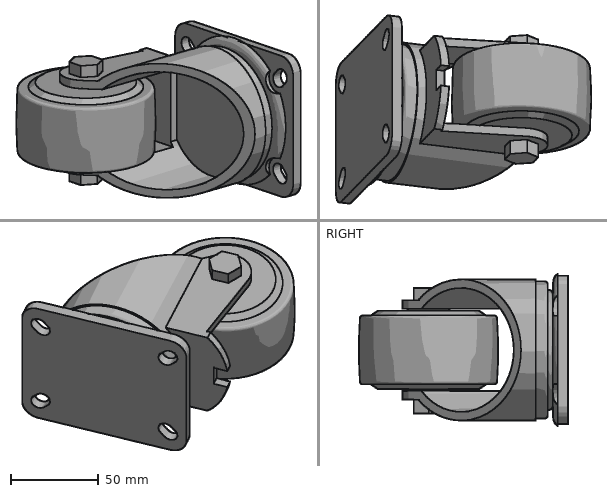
import cadquery as cq
import math


plate_length = 100.0
plate_width = 85.0
plate_thickness = 6.0
plate_corner_radius = 10.0

slot_radius = 4.5
slot_inner_x = 37.5
slot_inner_z = 27.5
slot_reach = 2.5
slot_clearance_radius = 8.0

dome_radius = 43.65
dome_flat_radius = 38.5
dome_bottom = -8.7

neck_top_radius = 32.2
neck_radius = 34.5
neck_bottom = -11.6
collar_radius = 39.4
collar_fillet = 2.0
collar_bottom = -18.7

cup_radius = 40.5
cup_wall = 5.0
rim_high_y = -27.0
leg_inner_z = 23.5
leg_thickness = 5.0
leg_end_radius = 15.0
leg_front_top_x = -52.1
tab_top = -24.0
tab_thickness = 5.0
tab_arc_center_x = -28.0
tab_arc_radius = 38.8
tab_notch_half_width = 6.2
tab_notch_bottom_x = -58.0

axle_x = -45.0
axle_y = -80.0
wheel_radius = 40.0
tread_edge_radius = 39.4
tread_half_width = 19.8
tread_fillet = 1.8
hub_base_radius = 33.0
hub_face_radius = 29.0
hub_half_width = 22.5
spacer_wheel_radius = 11.5
spacer_leg_radius = 12.5

hex_across_flats = 17.0
bolt_head_height = 7.0
bolt_nut_height = 8.0

leg_outer_z = leg_inner_z + leg_thickness
cup_inner_radius = cup_radius - cup_wall
tab_bottom = tab_top - tab_thickness
fork_bottom = axle_y - leg_end_radius
wheel_front_x = axle_x - wheel_radius
wheel_bottom = axle_y - wheel_radius
leg_cup_edge_x = -math.sqrt(cup_radius**2 - leg_outer_z**2)


def tangent_point(x, y, side):
    """Point where a line from (x, y) touches the round leg end; side (+1 or -1) picks which one."""
    dx = x - axle_x
    dy = y - axle_y
    direction = math.atan2(dy, dx) + side * math.acos(leg_end_radius / math.hypot(dx, dy))
    return (
        axle_x + leg_end_radius * math.cos(direction),
        axle_y + leg_end_radius * math.sin(direction),
    )


def bar_along_z(outline, z_low, z_high):
    """Extrude an XY outline between two Z levels."""
    return outline.extrude(z_high - z_low).translate((0, 0, z_low))


def rectangle_block(x_low, x_high, y_low, y_high, half_width):
    """Rectangular block centered on Z = 0."""
    outline = (
        cq.Workplane("XY")
        .center((x_low + x_high) / 2, (y_low + y_high) / 2)
        .rect(x_high - x_low, y_high - y_low)
    )
    return bar_along_z(outline, -half_width, half_width)


def make_disc(radius, y_top, y_bottom):
    """Solid cylinder around the swivel axis."""
    return cq.Workplane("XZ", origin=(0, y_top, 0)).circle(radius).extrude(y_top - y_bottom)


def make_slot(radius, x_sign, z_sign, y_top, y_bottom):
    """Diagonal slot-shaped prism at one corner of the plate."""
    angle = math.degrees(math.atan2(z_sign, x_sign))
    middle_x = x_sign * (slot_inner_x + slot_reach / 2)
    middle_z = z_sign * (slot_inner_z + slot_reach / 2)
    length = slot_reach * math.sqrt(2) + 2 * radius
    return (
        cq.Workplane("XZ", origin=(0, y_top, 0))
        .center(middle_x, middle_z)
        .slot2D(length, 2 * radius, angle)
        .extrude(y_top - y_bottom)
    )


def make_plate():
    """Mounting plate with its dome and the four slots."""
    plate = (
        cq.Workplane("XZ")
        .rect(plate_length, plate_width)
        .extrude(plate_thickness)
        .edges("|Y")
        .fillet(plate_corner_radius)
    )
    dome_height = -plate_thickness - dome_bottom
    dome_overhang = dome_radius - dome_flat_radius
    arc_radius = (dome_height**2 + dome_overhang**2) / (2 * dome_height)
    arc_angle = math.asin(dome_overhang / arc_radius) / 2
    arc_middle = (
        dome_flat_radius + arc_radius * math.sin(arc_angle),
        dome_bottom + arc_radius * (1 - math.cos(arc_angle)),
    )
    dome = (
        cq.Workplane("XY")
        .moveTo(0, -plate_thickness)
        .lineTo(dome_radius, -plate_thickness)
        .threePointArc(arc_middle, (dome_flat_radius, dome_bottom))
        .lineTo(0, dome_bottom)
        .close()
        .revolve(360, (0, 0, 0), (0, 1, 0))
    )
    for x_sign in (1, -1):
        for z_sign in (1, -1):
            dome = dome.cut(make_slot(slot_clearance_radius, x_sign, z_sign, -plate_thickness, dome_bottom))
            plate = plate.cut(make_slot(slot_radius, x_sign, z_sign, 0, -plate_thickness))
    return plate.union(dome)


def make_collar():
    """Rounded neck and collar below the dome."""
    neck_arc_middle = (
        neck_top_radius + (neck_radius - neck_top_radius) * math.sin(math.pi / 4),
        neck_bottom + (dome_bottom - neck_bottom) * math.cos(math.pi / 4),
    )
    fillet_top_radius = collar_radius - collar_fillet
    fillet_bottom = neck_bottom - collar_fillet
    return (
        cq.Workplane("XY")
        .moveTo(0, dome_bottom)
        .lineTo(neck_top_radius, dome_bottom)
        .threePointArc(neck_arc_middle, (neck_radius, neck_bottom))
        .lineTo(fillet_top_radius, neck_bottom)
        .radiusArc((collar_radius, fillet_bottom), collar_fillet)
        .lineTo(collar_radius, collar_bottom)
        .lineTo(0, collar_bottom)
        .close()
        .revolve(360, (0, 0, 0), (0, 1, 0))
    )


def make_tab():
    """Curved, notched lock tab joining the two legs."""
    corner_dx = math.sqrt(tab_arc_radius**2 - leg_outer_z**2)
    corner_x = tab_arc_center_x - corner_dx
    tip_x = tab_arc_center_x - tab_arc_radius
    tab = (
        cq.Workplane("XZ", origin=(0, tab_top, 0))
        .moveTo(leg_cup_edge_x, leg_outer_z)
        .lineTo(corner_x, leg_outer_z)
        .threePointArc((tip_x, 0), (corner_x, -leg_outer_z))
        .lineTo(leg_cup_edge_x, -leg_outer_z)
        .close()
        .extrude(tab_thickness)
    )
    notch = rectangle_block(tip_x, tab_notch_bottom_x, tab_bottom, tab_top, tab_notch_half_width)
    return tab.cut(notch)


def make_cup():
    """Round cup under the collar, cut off along the slanted rim plane."""
    rim_tangent = tangent_point(cup_radius, rim_high_y, -1)
    below_collar = (
        cq.Workplane("XY")
        .moveTo(-cup_radius, collar_bottom)
        .lineTo(cup_radius, collar_bottom)
        .lineTo(cup_radius, rim_high_y)
        .lineTo(*rim_tangent)
        .lineTo(-cup_radius, rim_tangent[1])
        .close()
    )
    side_block = bar_along_z(below_collar, -cup_radius, cup_radius)
    return make_disc(cup_radius, collar_bottom, fork_bottom).intersect(side_block)


def make_leg_block():
    """Block with the side outline of the legs, as wide as the outsides of both legs."""
    front_tangent = tangent_point(leg_front_top_x, tab_bottom, 1)
    rim_tangent = tangent_point(cup_radius, rim_high_y, -1)
    outline = (
        cq.Workplane("XY")
        .moveTo(leg_front_top_x, tab_top)
        .lineTo(leg_front_top_x, tab_bottom)
        .lineTo(*front_tangent)
        .threePointArc((axle_x, fork_bottom), rim_tangent)
        .lineTo(cup_radius, rim_high_y)
        .lineTo(cup_radius, tab_top)
        .close()
    )
    block = bar_along_z(outline, -leg_outer_z, leg_outer_z)
    beside_cup = rectangle_block(wheel_front_x, leg_cup_edge_x, fork_bottom, tab_top, leg_outer_z)
    return block.intersect(beside_cup)


def make_fork():
    """Cup and legs, hollowed for the wheel, with the tab across the front."""
    hollow = make_disc(cup_inner_radius, tab_top, fork_bottom)
    wheel_gap = rectangle_block(wheel_front_x, 0, wheel_bottom, tab_bottom, leg_inner_z)
    return make_cup().union(make_leg_block()).cut(hollow).cut(wheel_gap).union(make_tab())


def make_wheel():
    """Wheel with a slightly crowned tread, conical hub faces and spacers up to the legs."""
    shoulder_z = tread_half_width - tread_fillet
    side_radius = tread_edge_radius - tread_fillet
    section_plane = cq.Plane(origin=(axle_x, axle_y, 0), xDir=(0, -1, 0), normal=(-1, 0, 0))
    return (
        cq.Workplane(section_plane)
        .moveTo(0, -leg_inner_z)
        .lineTo(spacer_leg_radius, -leg_inner_z)
        .lineTo(spacer_wheel_radius, -hub_half_width)
        .lineTo(hub_face_radius, -hub_half_width)
        .lineTo(hub_base_radius, -tread_half_width)
        .lineTo(side_radius, -tread_half_width)
        .radiusArc((tread_edge_radius, -shoulder_z), -tread_fillet)
        .threePointArc((wheel_radius, 0), (tread_edge_radius, shoulder_z))
        .radiusArc((side_radius, tread_half_width), -tread_fillet)
        .lineTo(hub_base_radius, tread_half_width)
        .lineTo(hub_face_radius, hub_half_width)
        .lineTo(spacer_wheel_radius, hub_half_width)
        .lineTo(spacer_leg_radius, leg_inner_z)
        .lineTo(0, leg_inner_z)
        .close()
        .revolve(360, (0, 0, 0), (0, 1, 0))
    )


def make_bolt_end(z_low, z_high):
    """Hexagon on the outside of a leg, with two corners pointing along X."""
    across_corners = hex_across_flats / math.cos(math.pi / 6)
    outline = cq.Workplane("XY").center(axle_x, axle_y).polygon(6, across_corners)
    return bar_along_z(outline, z_low, z_high)


result = (
    make_plate()
    .union(make_collar())
    .union(make_fork())
    .union(make_wheel())
    .union(make_bolt_end(leg_outer_z, leg_outer_z + bolt_head_height))
    .union(make_bolt_end(-leg_outer_z - bolt_nut_height, -leg_outer_z))
)